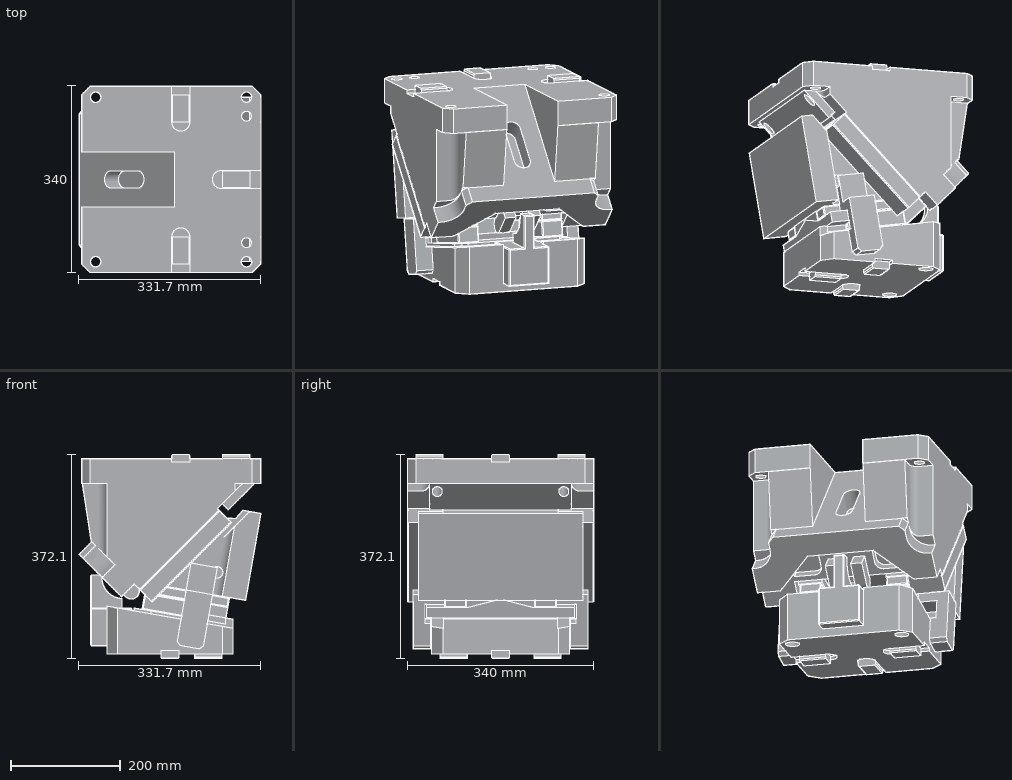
import cadquery as cq
import math


TILT = 10.0
UNIT_TOP = 356.5
SMALL_BEVEL = 2.0
KEY_WIDTH = 33.0
KEY_LENGTH = 50.0
KEY_PROUD = 7.8
KEY_SEAT = 6.5
KEY_BEVEL_HEIGHT = 3.0
KEY_BEVEL_WIDTH = 1.5
SIDE_KEY_INSET = 15.5
SIDE_SLOT_LENGTH = 82.0
REAR_KEY_INSET = 20.0
REAR_SLOT_LENGTH = 88.0
FAR = 744.0

BASE_LEFT = 46.0
BASE_RIGHT = 276.0
BASE_HALF = 126.0
BASE_TOP_LEFT = 87.8
BASE_CHAMFER_X = 19.0
BASE_CHAMFER_Y = 21.0
BASE_KEY_X = 161.0
BASE_HOLE_X = 72.5
BASE_HOLE_Y = 103.5
BASE_HOLE_R = 12.5
SEAT_RISE = 5.2
SEAT_LEFT = 95.5
SEAT_HALF = 89.3
WIDE_SEAT_LEFT = 126.5
WIDE_SEAT_HALF = 104.0
STEP_RISE = 16.5
STEP_POCKET_HALF = 96.7
STEP_POCKET_RIGHT = 262.0
RAIL_START = 178.5
RAIL_HALF = 135.0
ROOF_HALF = 59.5
ROOF_RISE = 15.5
POST_LEFT = 16.5
POST_BOTTOM = 15.3
POST_HALF = 38.7
POST_SHELF = 84.5
POST_SHELF_RIGHT = 91.5
STEM_HALF = 9.5
STEM_TOP = 144.7
STEM_RIGHT = 37.2
STEM_ARC_TOP = 140.0
STEM_ARC_MIDDLE = (48.0, 113.0)
STEM_ARC_END = (74.0, 101.5)

PAD_START = 64.0
PAD_END = 217.5
PAD_INNER = 62.0
PAD_OUTER = 102.0
LOWER_PAD_TOP = 35.7
SLIDE_BOTTOM = 54.0
NECK_HALF = 105.0
NECK_LOW_SUM = 277.0
NECK_PEAK = (294.0, 262.5)
HOLLOW_RIGHT = (281.0, 247.5)
HOLLOW_LEFT = (265.5, 248.5)
HOLLOW_MIDDLE = (259.5, 251.5)
HOLLOW_START_DIFF = -5.0
CHANNEL_HALF = 60.3
CHANNEL_TOP = 69.5
LEG_START = 204.0
LEG_END = 247.5
LEG_TOP = 215.0
LEG_HALF = 150.0
LEG_RAMP = 46.0
LEG_FILLET = 15.3
BRACKET_START = 137.3
BRACKET_END = 186.0
BOSS_TOP = 103.8
BOSS_OUTER = 122.8
BRACKET_BOTTOM = -47.5
BRACKET_OUTER = 159.5
BRACKET_INNER = 137.5
HOOK_INNER = 127.2
HOOK_TOP = 0.7
HOOK_CHAMFER = 6.7
BUMP_X = 247.0
BUMP_Z = 149.0
BUMP_R = 10.5
BUMP_HALF = 119.0

PLATE_LENGTH = 326.5
PLATE_HALF = 170.0
PLATE_BOTTOM = 311.0
PLATE_CHAMFER = 15.5
WEDGE_LEFT_TOP = 1.0
WEDGE_LEFT_LOW = 17.5
HEEL_SUM = 177.5
HEEL_BACK_SUM = 223.5
HEEL_TOP_DIFF = -186.7
HEEL_START_DIFF = -190.5
CORNER_CUT_DIFF = -102.3
WINDOW_DIFF = -124.0
HEEL_END_DIFF = -32.0
SIDE_RAMP_DIFF = -12.3
UPPER_RAMP_DIFF = -18.0
STRIP_DIFF = 33.5
STRIP_END_SUM = 513.0
STOP_SUM = 530.5
STOP_DIFF = 4.0
STRIP_INNER = 106.0
NOSE_SUM = 185.0
NOSE_TOP_DIFF = -88.0
NOSE_HALF = 34.5
NOSE_R = 15.0
NOSE_END_DIFF = -25.0
NOSE_SLOT_HALF = 13.5
NOSE_SLOT_DIFF = -108.0
CORNER_HALF = 129.0
CORNER_WALL = 46.5
REAR_CORNER_WALL = 279.5
CORNER_FILLET = 15.5
HEEL_FILLET = 35.5
HEEL_CORNER_CHAMFER = 10.0
WINDOW_NARROW = 62.0
WINDOW_WIDE = 126.0
RELIEF_INNER = 50.5
RELIEF_OUTER = 104.0
RELIEF_FILLET = 15.3
RELIEF_END_DIFF = -46.5
RELIEF_DEPTH = 16.7
TOP_POCKET_HALF = 50.0
SLOT_WIDTH = 31.0
SLOT_LENGTH = 101.5
SLOT_DEPTH = 36.0
SLOT_X = 77.7
HOLE_Y = 150.0
HOLE_XS = (25.5, 300.5)
HOLE_R = 9.3
DOWEL_Y = 115.5
DOWEL_R = 9.0
HOLDER_KEY_X = 180.8

ROOT2 = math.sqrt(2)
SIN = math.sin(math.radians(TILT))
COS = math.cos(math.radians(TILT))
HEEL_DEPTH = (HEEL_BACK_SUM - HEEL_SUM) / ROOT2


def on_slope(u, v):
    """X, Z of a point u along and v above the sloping base top."""
    return (BASE_LEFT + u * COS + v * SIN, BASE_TOP_LEFT - u * SIN + v * COS)


def on_ramp(total, diff):
    """X, Z of the point where X + Z = total and X - Z = diff."""
    return ((total + diff) / 2, (total - diff) / 2)


def slab(points, y_from, y_to):
    """Prism with an XZ outline between two Y values."""
    outline = cq.Workplane("XZ", origin=(0, y_from, 0)).polyline(points).close()
    return outline.extrude(y_from - y_to)


def slope_block(u0, u1, v0, v1, y_from, y_to):
    return slab([on_slope(u0, v0), on_slope(u1, v0), on_slope(u1, v1), on_slope(u0, v1)], y_from, y_to)


def ramp_block(sum0, sum1, diff0, diff1, y_from, y_to):
    corners = [(sum0, diff0), (sum1, diff0), (sum1, diff1), (sum0, diff1)]
    return slab([on_ramp(*corner) for corner in corners], y_from, y_to)


def mirrored(shape):
    return shape.union(shape.mirror("XZ"))


def heel_plane(total):
    """Workplane on X + Z = total: local x runs down the heel (X - Z = x * root 2), local y is Y."""
    x, z = on_ramp(total, 0)
    return cq.Workplane(cq.Plane((x, 0, z), (1, 0, -1), (1, 0, 1)))


def heel_cut(points):
    """Prism through the thickness of the heel; points are (X - Z, Y)."""
    return heel_plane(HEEL_SUM).polyline([(diff / ROOT2, y) for diff, y in points]).close().extrude(HEEL_DEPTH)


def filleted_recess(end_diff, start_diff, inner, outer, radius, total, depth):
    """Recess from a heel surface inward, with its lower inner corner rounded."""
    start = start_diff / ROOT2
    end = end_diff / ROOT2
    return (
        heel_plane(total)
        .moveTo(start, inner)
        .lineTo(end - radius, inner)
        .radiusArc((end, inner + radius), -radius)
        .lineTo(end, outer)
        .lineTo(start, outer)
        .close()
        .extrude(depth)
    )


def key_slot(edge, length):
    """Slot entering from +X at the given edge, floor at Z = 0, round inner end."""
    straight = length - KEY_WIDTH / 2
    channel = cq.Workplane("XY").center(edge - straight / 2, 0).rect(straight, KEY_WIDTH).extrude(KEY_SEAT)
    return channel.union(cq.Workplane("XY").center(edge - straight, 0).circle(KEY_WIDTH / 2).extrude(KEY_SEAT))


def key_block(edge, inset):
    """Key standing on Z = 0 with bevelled long top edges."""
    height = KEY_SEAT + KEY_PROUD
    half = KEY_WIDTH / 2
    top_half = half - KEY_BEVEL_WIDTH
    shoulder = height - KEY_BEVEL_HEIGHT
    profile = [
        (-half, 0),
        (half, 0),
        (half, shoulder),
        (top_half, height),
        (-top_half, height),
        (-half, shoulder),
    ]
    inner_end = cq.Workplane("YZ", origin=(edge - inset - KEY_LENGTH, 0, 0))
    return inner_end.polyline(profile).close().extrude(KEY_LENGTH)


def with_keys(body, key_x, side, rear, place):
    """Cut three key slots and fit their keys; place moves each from its local position to the face."""
    layouts = [
        (90, key_x, side, SIDE_SLOT_LENGTH, SIDE_KEY_INSET),
        (-90, key_x, side, SIDE_SLOT_LENGTH, SIDE_KEY_INSET),
        (0, 0, rear, REAR_SLOT_LENGTH, REAR_KEY_INSET),
    ]
    for angle, x, edge, slot_length, inset in layouts:
        slot = key_slot(edge, slot_length).rotate((0, 0, 0), (0, 0, 1), angle).translate((x, 0, 0))
        key = key_block(edge, inset).rotate((0, 0, 0), (0, 0, 1), angle).translate((x, 0, 0))
        body = body.cut(place(slot)).union(place(key))
    return body


def base_block():
    right_top = BASE_TOP_LEFT - (BASE_RIGHT - BASE_LEFT) * SIN / COS
    profile = [(BASE_LEFT, 0), (BASE_RIGHT, 0), (BASE_RIGHT, right_top), (BASE_LEFT, BASE_TOP_LEFT)]
    block = slab(profile, -BASE_HALF, BASE_HALF)
    for x, inward in ((BASE_LEFT, 1), (BASE_RIGHT, -1)):
        for side in (-1, 1):
            corner = [
                (x, side * BASE_HALF),
                (x + inward * BASE_CHAMFER_X, side * BASE_HALF),
                (x, side * (BASE_HALF - BASE_CHAMFER_Y)),
            ]
            block = block.cut(cq.Workplane("XY").polyline(corner).close().extrude(FAR))
    holes = [(BASE_HOLE_X, -BASE_HOLE_Y), (BASE_HOLE_X, BASE_HOLE_Y)]
    return block.cut(cq.Workplane("XY").pushPoints(holes).circle(BASE_HOLE_R).extrude(FAR))


def seat(left, right, half, rise):
    """Raised area of the sloping top with upright ends."""
    def height(x):
        return BASE_TOP_LEFT - (x - BASE_LEFT) * SIN / COS

    lift = rise / COS
    outline = [
        (left, height(left)),
        (right, height(right)),
        (right, height(right) + lift),
        (left, height(left) + lift),
    ]
    return slab(outline, -half, half)


def step():
    """Step carrying the cross rail, with a pocket in each side."""
    left = on_slope(RAIL_START, 0)[0]
    block = seat(left, BASE_RIGHT, WIDE_SEAT_HALF, STEP_RISE)
    pocket_room = seat(left, STEP_POCKET_RIGHT, WIDE_SEAT_HALF, STEP_RISE)
    pocket_core = seat(left, STEP_POCKET_RIGHT, STEP_POCKET_HALF, STEP_RISE)
    return block.cut(pocket_room.cut(pocket_core))


def lower_pad():
    pad = slope_block(PAD_START, RAIL_START, SEAT_RISE, LOWER_PAD_TOP, PAD_INNER, PAD_OUTER)
    return pad.edges().chamfer(SMALL_BEVEL)


def roof():
    """Low gable along the middle of the cross rail."""
    x, z = on_slope(RAIL_START, LOWER_PAD_TOP)
    across = cq.Plane((x, 0, z), (0, 1, 0), (COS, 0, -SIN))
    gable = cq.Workplane(across).polyline([(-ROOF_HALF, 0), (ROOF_HALF, 0), (0, ROOF_RISE)]).close()
    return gable.extrude(PAD_END - RAIL_START)


def rail():
    """Cross rail behind the lower pads."""
    block = slope_block(RAIL_START, PAD_END, STEP_RISE, LOWER_PAD_TOP, -RAIL_HALF, RAIL_HALF)
    return block.union(roof())


def post():
    """T shaped stop block at the left end with a hollowed stem."""
    foot = slab([(POST_LEFT, POST_BOTTOM), (POST_SHELF_RIGHT, POST_BOTTOM),
                 (POST_SHELF_RIGHT, POST_SHELF), (POST_LEFT, POST_SHELF)], -POST_HALF, POST_HALF)
    foot = foot.faces("<X or >Z").edges().chamfer(SMALL_BEVEL)
    stem = (
        cq.Workplane("XZ", origin=(0, STEM_HALF, 0))
        .moveTo(POST_LEFT, POST_BOTTOM + SMALL_BEVEL)
        .lineTo(POST_LEFT, STEM_TOP)
        .lineTo(STEM_RIGHT, STEM_TOP)
        .lineTo(STEM_RIGHT, STEM_ARC_TOP)
        .threePointArc(STEM_ARC_MIDDLE, STEM_ARC_END)
        .lineTo(STEM_ARC_END[0], POST_BOTTOM + SMALL_BEVEL)
        .close()
        .extrude(2 * STEM_HALF)
    )
    return foot.union(stem.faces("<X").edges().chamfer(SMALL_BEVEL))


def make_base():
    body = base_block()
    body = body.union(seat(SEAT_LEFT, BASE_RIGHT, SEAT_HALF, SEAT_RISE))
    body = body.union(seat(WIDE_SEAT_LEFT, BASE_RIGHT, WIDE_SEAT_HALF, SEAT_RISE)).union(step())
    body = body.union(rail())
    body = body.union(mirrored(lower_pad()))
    shelf_room = cq.Workplane("XY", origin=(0, 0, POST_SHELF)).rect(2 * POST_SHELF_RIGHT, 2 * POST_HALF)
    body = body.cut(shelf_room.extrude(FAR)).union(post())
    return with_keys(
        body, BASE_KEY_X, BASE_HALF, BASE_RIGHT,
        lambda shape: shape.mirror("XY").translate((0, 0, KEY_SEAT)),
    )


def neck():
    """Middle of the slide, with its ramp face against the holder and a hollow before the leg."""
    return (
        cq.Workplane("XZ", origin=(0, NECK_HALF, 0))
        .moveTo(*on_slope(PAD_START, SLIDE_BOTTOM))
        .lineTo(*on_slope(LEG_END, SLIDE_BOTTOM))
        .lineTo(*on_slope(LEG_END, LEG_TOP))
        .lineTo(*NECK_PEAK)
        .lineTo(*HOLLOW_RIGHT)
        .lineTo(*HOLLOW_LEFT)
        .threePointArc(HOLLOW_MIDDLE, on_ramp(STRIP_END_SUM, HOLLOW_START_DIFF))
        .lineTo(*on_ramp(STRIP_END_SUM, HEEL_END_DIFF))
        .lineTo(*on_ramp(NECK_LOW_SUM, HEEL_END_DIFF))
        .close()
        .extrude(2 * NECK_HALF)
    )


def neck_channel():
    """Channel under the neck from its left end to the middle pad."""
    return slope_block(0, RAIL_START, 0, CHANNEL_TOP, -CHANNEL_HALF, CHANNEL_HALF)


def legs():
    """Wide rear leg, cut to its own ramp outside the neck, blended into the neck sides."""
    leg = slope_block(LEG_START, LEG_END, SLIDE_BOTTOM, LEG_TOP, -LEG_HALF, LEG_HALF)
    corner = slope_block(LEG_START - LEG_FILLET, LEG_START, SLIDE_BOTTOM, LEG_TOP,
                         NECK_HALF, NECK_HALF + LEG_FILLET)
    x, z = on_slope(LEG_START - LEG_FILLET, SLIDE_BOTTOM)
    along_v = cq.Plane((x, NECK_HALF + LEG_FILLET, z), (COS, 0, -SIN), (SIN, 0, COS))
    blend = corner.cut(cq.Workplane(along_v).circle(LEG_FILLET).extrude(FAR))
    leg = leg.union(mirrored(blend))
    return leg.cut(ramp_block(0, FAR, -FAR, LEG_RAMP, -FAR, FAR))


def upper_pad():
    pad = slope_block(PAD_START, PAD_END, LOWER_PAD_TOP, SLIDE_BOTTOM, PAD_INNER, PAD_OUTER)
    return pad.edges().chamfer(SMALL_BEVEL)


def middle_pad():
    """Pad between the upper pads that straddles the roof of the rail."""
    pad = slope_block(RAIL_START, PAD_END, LOWER_PAD_TOP, SLIDE_BOTTOM, -PAD_INNER, PAD_INNER)
    return pad.cut(roof())


def bracket():
    """Side bracket that hangs from the neck and hooks below the rail."""
    boss = slope_block(BRACKET_START, BRACKET_END, SLIDE_BOTTOM, BOSS_TOP, NECK_HALF, BOSS_OUTER)
    boss = boss.cut(ramp_block(0, FAR, -FAR, STRIP_DIFF, -FAR, FAR))
    arm_inner = PAD_OUTER - SMALL_BEVEL
    arm = slope_block(BRACKET_START, BRACKET_END, LOWER_PAD_TOP, SLIDE_BOTTOM, arm_inner, BRACKET_OUTER)
    plate = slope_block(BRACKET_START, BRACKET_END, BRACKET_BOTTOM, SLIDE_BOTTOM, HOOK_INNER, BRACKET_OUTER)
    plate = plate.edges("|Y and (<Z or <X)").chamfer(HOOK_CHAMFER)
    plate = plate.cut(slope_block(BRACKET_START, BRACKET_END, HOOK_TOP, SLIDE_BOTTOM, 0, BRACKET_INNER))
    return boss.union(arm).union(plate)


def make_slide():
    body = neck().cut(neck_channel()).union(legs())
    body = body.union(mirrored(upper_pad())).union(middle_pad())
    body = body.union(mirrored(bracket()))
    bumps = cq.Workplane("XZ", origin=(BUMP_X, BUMP_HALF, BUMP_Z)).circle(BUMP_R).extrude(2 * BUMP_HALF)
    return body.union(bumps)


def plate():
    middle = cq.Workplane("XY", origin=(PLATE_LENGTH / 2, 0, PLATE_BOTTOM))
    block = middle.rect(PLATE_LENGTH, 2 * PLATE_HALF).extrude(UNIT_TOP - PLATE_BOTTOM)
    return block.edges("|Z").chamfer(PLATE_CHAMFER)


def wedge():
    """45 degree body below the plate with the heel at its left end."""
    outline = [
        (WEDGE_LEFT_TOP, PLATE_BOTTOM),
        (WEDGE_LEFT_LOW, WEDGE_LEFT_LOW - HEEL_TOP_DIFF),
        on_ramp(HEEL_SUM, HEEL_TOP_DIFF),
        on_ramp(HEEL_SUM, HEEL_END_DIFF),
        on_ramp(HEEL_BACK_SUM, HEEL_END_DIFF),
        on_ramp(HEEL_BACK_SUM, SIDE_RAMP_DIFF),
        on_ramp(STRIP_END_SUM, SIDE_RAMP_DIFF),
        on_ramp(STRIP_END_SUM, UPPER_RAMP_DIFF),
        (PLATE_BOTTOM + UPPER_RAMP_DIFF, PLATE_BOTTOM),
    ]
    return slab(outline, -PLATE_HALF, PLATE_HALF)


def inner_ramp_cut():
    return ramp_block(HEEL_BACK_SUM, STOP_SUM, HEEL_END_DIFF, STRIP_DIFF, -STRIP_INNER, STRIP_INNER)


def stop():
    """Wedge under the plate beyond the upper end of the ramp."""
    outline = [
        on_ramp(STOP_SUM, HEEL_END_DIFF),
        on_ramp(STOP_SUM, STOP_DIFF),
        (PLATE_BOTTOM + STOP_DIFF, PLATE_BOTTOM),
        (PLATE_BOTTOM + HEEL_END_DIFF, PLATE_BOTTOM),
    ]
    return slab(outline, -CORNER_HALF, CORNER_HALF)


def strip():
    bar = ramp_block(HEEL_BACK_SUM, STRIP_END_SUM, SIDE_RAMP_DIFF, STRIP_DIFF, STRIP_INNER, PLATE_HALF)
    return bar.faces(">Y").edges("not(<X or >X)").chamfer(SMALL_BEVEL)


def corner_recess(wall, outward, floor_z):
    """Upright recess below one corner of the plate, beyond its wall; outward is the X sign."""
    size = PLATE_HALF
    recess = (
        cq.Workplane("XY", origin=(wall + outward * size / 2, CORNER_HALF + size / 2, floor_z))
        .rect(size, size)
        .extrude(PLATE_BOTTOM - floor_z)
    )
    inner_edge = "|Z and <Y and " + ("<X" if outward > 0 else ">X")
    return recess.edges(inner_edge).fillet(CORNER_FILLET)


def left_corner_recess():
    recess = corner_recess(CORNER_WALL, -1, HEEL_BACK_SUM - CORNER_WALL)
    return recess.cut(ramp_block(-FAR, HEEL_BACK_SUM, -FAR, FAR, -FAR, FAR))


def rear_corner_recess():
    return corner_recess(REAR_CORNER_WALL, 1, REAR_CORNER_WALL - STOP_DIFF)


def heel_corner_cut():
    return filleted_recess(CORNER_CUT_DIFF, HEEL_START_DIFF, CORNER_HALF, FAR, HEEL_FILLET, HEEL_SUM, HEEL_DEPTH)


def heel_tip_cut():
    """Bevel on the upper corner of the heel."""
    back = HEEL_CORNER_CHAMFER * ROOT2
    return heel_cut([
        (HEEL_TOP_DIFF, CORNER_HALF - HEEL_CORNER_CHAMFER),
        (HEEL_TOP_DIFF + back, CORNER_HALF),
        (HEEL_TOP_DIFF, CORNER_HALF),
    ])


def heel_window():
    """Trapezoid opening in the lower edge of the heel."""
    return heel_cut([
        (HEEL_END_DIFF, -WINDOW_WIDE),
        (HEEL_END_DIFF, WINDOW_WIDE),
        (WINDOW_DIFF, WINDOW_NARROW),
        (WINDOW_DIFF, -WINDOW_NARROW),
    ])


def window_relief():
    """Recess in the back wall of the window, with a rounded inner corner."""
    return filleted_recess(
        RELIEF_END_DIFF, WINDOW_DIFF, RELIEF_INNER, RELIEF_OUTER, RELIEF_FILLET, HEEL_BACK_SUM, RELIEF_DEPTH)


def nose():
    """Round ended block in the window, slotted to clear the stem of the base post."""
    bar = ramp_block(NOSE_SUM, HEEL_BACK_SUM, NOSE_TOP_DIFF, NOSE_END_DIFF, -NOSE_HALF, NOSE_HALF)
    x, z = on_ramp(NOSE_SUM + NOSE_R * ROOT2, NOSE_END_DIFF)
    tip = cq.Workplane("XZ", origin=(x, NOSE_HALF, z)).circle(NOSE_R).extrude(2 * NOSE_HALF)
    slot = ramp_block(NOSE_SUM, HEEL_BACK_SUM, NOSE_SLOT_DIFF, FAR, -NOSE_SLOT_HALF, NOSE_SLOT_HALF)
    return bar.union(tip).cut(slot)


def top_pocket():
    """Sloping pocket open to the top and to the left, in line with the top of the heel."""
    return ramp_block(0, FAR, -FAR, HEEL_TOP_DIFF, -TOP_POCKET_HALF, TOP_POCKET_HALF)


def pocket_slot():
    """Blind round ended slot square to the pocket floor."""
    floor = cq.Plane((SLOT_X, 0, SLOT_X - HEEL_TOP_DIFF), (1, 0, 1), (1, 0, -1))
    return cq.Workplane(floor).slot2D(SLOT_LENGTH, SLOT_WIDTH).extrude(SLOT_DEPTH)


def plate_holes():
    """Corner bolt holes and, at the rear, dowel holes that run on through the stop."""
    corners = [(x, y) for x in HOLE_XS for y in (-HOLE_Y, HOLE_Y)]
    dowels = [(HOLE_XS[1], -DOWEL_Y), (HOLE_XS[1], DOWEL_Y)]
    level = cq.Workplane("XY", origin=(0, 0, REAR_CORNER_WALL - STOP_DIFF))
    corner_holes = level.pushPoints(corners).circle(HOLE_R).extrude(FAR)
    return corner_holes.union(level.pushPoints(dowels).circle(DOWEL_R).extrude(FAR))


def make_holder():
    body = plate().union(wedge())
    body = body.cut(inner_ramp_cut()).union(stop()).union(mirrored(strip()))
    body = body.cut(mirrored(left_corner_recess())).cut(mirrored(rear_corner_recess()))
    body = body.cut(mirrored(heel_corner_cut())).cut(mirrored(heel_tip_cut()))
    body = body.cut(heel_window()).cut(mirrored(window_relief()))
    body = body.union(nose())
    body = body.cut(top_pocket()).cut(pocket_slot())
    body = body.cut(plate_holes())
    return with_keys(
        body, HOLDER_KEY_X, PLATE_HALF, PLATE_LENGTH,
        lambda shape: shape.translate((0, 0, UNIT_TOP - KEY_SEAT)),
    )


base = make_base()
slide = make_slide()
holder = make_holder()
result = cq.Compound.makeCompound([base.val(), slide.val(), holder.val()])